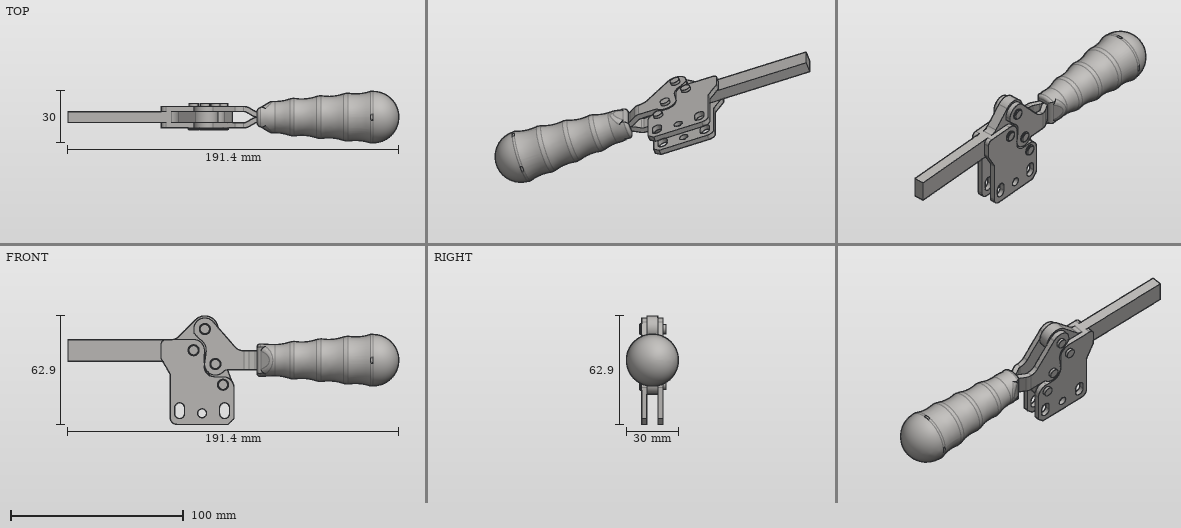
import cadquery as cq
import math


overall_height = 62.88

arm_width = 6.35
plate_thickness = 3.05
half_gap = arm_width / 2
half_width = half_gap + plate_thickness

arm_lever_pin = (1.6, 55.2)
arm_base_pin = (-4.9, 42.95)
lever_link_pin = (7.7, 35.0)
link_base_pin = (12.1, 23.0)
pin_centres = [arm_lever_pin, arm_base_pin, lever_link_pin, link_base_pin]
pin_radius = 2.75
pin_tail_length = 1.7
pin_head_radius = 3.2
pin_head_height = 1.2
pin_head_chamfer = 0.5

arm_left = -77.6
arm_height = 12.7
arm_bottom = 36.45
arm_top = arm_bottom + arm_height
arm_eye_radius = overall_height - arm_lever_pin[1]
arm_hub_radius = arm_base_pin[1] - arm_bottom
arm_fillet = 5.4
arm_slope = 45.0

link_radius = 5.5

base_half_length = 18.5
base_flare = 5.2
flare_angle = math.radians(30)
flare_bottom_z = 29.1
flare_top_z = flare_bottom_z + base_flare / math.tan(flare_angle)
flare_fillet = 2.0
base_top_fillet = 2.9
base_bottom_fillet = 4.0
base_bottom_chamfer = 3.5
base_hub_radius = arm_top - arm_base_pin[1]
base_step_z = 27.6
base_step_fillet = 6.0
base_shoulder_radius = 6.3
slot_spacing = 26.0
slot_width = 5.6
slot_length = 9.0
slot_z = 8.0
base_hole_diameter = 5.0
base_hole_z = 6.5

lever_radius = 6.4
lever_clearance_radius = 7.3
lever_clearance_start = 62.0
lever_neck_z = 53.0
lever_slope = 49.0
tang_height = 11.1
lever_top_fillet = 6.5
lever_bottom_fillet = 3.0
bend_start = 24.2
bend_angle = math.radians(30)
bend_inner_radius = 3.0
bend_outer_radius = bend_inner_radius + plate_thickness
tang_end = 45.0

grip_z = 37.2
grip_front = 31.7
grip_end = 113.84
grip_radius = 15.0
grip_front_fillet = 2.0
grip_front_radius = 9.5
groove_count = 4
first_groove_x = 42.1
groove_pitch = 15.57
first_groove_radius = 9.1
groove_radius_step = 1.48
groove_curve = 26.0
groove_before = 4.4
groove_after = 8.6
crest_rise = 0.12
nose_half_width = 3.4
nose_round_x = 34.0
nose_round_half_width = 5.7
nose_round_radius = 2.9
nose_angle = math.radians(31)
nose_blend_radius = 3.5
nose_edge_margin = 0.5


def on_circle(centre, radius, degrees):
    angle = math.radians(degrees)
    return (centre[0] + radius * math.cos(angle), centre[1] + radius * math.sin(angle))


def extrude_y(outline, y_min, y_max):
    """Extrude an outline drawn on the XZ plane from y_min to y_max."""
    return outline.extrude(y_min - y_max).translate((0, y_min, 0))


def front_sketch():
    return cq.Workplane("XZ")


def bar_between(start, end, start_radius, end_radius):
    """Outline of a bar with round ends, whose sides touch both end circles."""
    length = math.dist(start, end)
    heading = math.degrees(math.atan2(end[1] - start[1], end[0] - start[0]))
    side = math.degrees(math.acos((start_radius - end_radius) / length))
    return (
        front_sketch()
        .moveTo(*on_circle(start, start_radius, heading + side))
        .threePointArc(
            on_circle(start, start_radius, heading + 180),
            on_circle(start, start_radius, heading - side),
        )
        .lineTo(*on_circle(end, end_radius, heading - side))
        .threePointArc(
            on_circle(end, end_radius, heading),
            on_circle(end, end_radius, heading + side),
        )
        .close()
    )


def fillet_edge_at(body, point, radius):
    """Round the edge along Y that passes through the given (X, Z) point."""
    reach = 0.2
    box = cq.selectors.BoxSelector(
        (point[0] - reach, -grip_radius, point[1] - reach),
        (point[0] + reach, grip_radius, point[1] + reach),
    )
    return body.edges("|Y").edges(box).fillet(radius)


def make_arm():
    slope_touch = on_circle(arm_lever_pin, arm_eye_radius, 90 + arm_slope)
    slope_run = (slope_touch[1] - arm_top) / math.tan(math.radians(arm_slope))
    slope_foot = (slope_touch[0] - slope_run, arm_top)
    outline = (
        front_sketch()
        .moveTo(arm_left, arm_bottom)
        .lineTo(arm_base_pin[0], arm_bottom)
        .lineTo(*arm_base_pin)
        .lineTo(*arm_lever_pin)
        .lineTo(*slope_touch)
        .lineTo(*slope_foot)
        .lineTo(arm_left, arm_top)
        .close()
    )
    arm = extrude_y(outline, -half_gap, half_gap)
    arm = fillet_edge_at(arm, slope_foot, arm_fillet)
    web = bar_between(arm_base_pin, arm_lever_pin, arm_hub_radius, arm_eye_radius)
    return arm.union(extrude_y(web, -half_gap, half_gap))


def make_link():
    outline = bar_between(lever_link_pin, link_base_pin, link_radius, link_radius)
    return extrude_y(outline, -half_gap, half_gap)


def make_base_plate():
    left = -base_half_length
    right = base_half_length
    inner_edge = arm_base_pin[0] + base_hub_radius
    flare_bottom = (left, flare_bottom_z)
    flare_top = (left - base_flare, flare_top_z)
    top_corner = (left - base_flare, arm_top)
    bottom_corner = (left, 0)
    step_corner = (inner_edge, base_step_z)
    shoulder = (right, base_step_z)
    outline = (
        front_sketch()
        .moveTo(*bottom_corner)
        .lineTo(*flare_bottom)
        .lineTo(*flare_top)
        .lineTo(*top_corner)
        .lineTo(arm_base_pin[0], arm_top)
        .threePointArc(
            on_circle(arm_base_pin, base_hub_radius, 45),
            on_circle(arm_base_pin, base_hub_radius, 0),
        )
        .lineTo(*step_corner)
        .lineTo(*shoulder)
        .lineTo(right, base_bottom_chamfer)
        .lineTo(right - base_bottom_chamfer, 0)
        .close()
    )
    plate = extrude_y(outline, half_gap, half_width)
    rounded_corners = [
        (bottom_corner, base_bottom_fillet),
        (flare_bottom, flare_fillet),
        (flare_top, flare_fillet),
        (top_corner, base_top_fillet),
        (step_corner, base_step_fillet),
        (shoulder, base_shoulder_radius),
    ]
    for corner, radius in rounded_corners:
        plate = fillet_edge_at(plate, corner, radius)
    slots = (
        front_sketch()
        .pushPoints([(-slot_spacing / 2, slot_z), (slot_spacing / 2, slot_z)])
        .slot2D(slot_length, slot_width, 90)
    )
    hole = front_sketch().center(0, base_hole_z).circle(base_hole_diameter / 2)
    plate = plate.cut(extrude_y(slots, half_gap, half_width))
    return plate.cut(extrude_y(hole, half_gap, half_width))


def lever_side_shape():
    """Side shape of the lever, thick enough to be trimmed by the bent plate."""
    tang_top = grip_z + tang_height / 2
    tang_bottom = grip_z - tang_height / 2
    slope_touch = on_circle(arm_lever_pin, lever_radius, 90 - lever_slope)
    slope_run = (slope_touch[1] - tang_top) / math.tan(math.radians(lever_slope))
    slope_foot = (slope_touch[0] + slope_run, tang_top)
    drop = lever_link_pin[1] - tang_bottom
    heel = (lever_link_pin[0] + math.sqrt(lever_radius**2 - drop**2), tang_bottom)
    outline = (
        front_sketch()
        .moveTo(*slope_touch)
        .threePointArc(
            on_circle(arm_lever_pin, lever_radius, 90),
            on_circle(arm_lever_pin, lever_radius, 180),
        )
        .lineTo(arm_lever_pin[0] - lever_radius, lever_neck_z)
        .lineTo(*on_circle(arm_base_pin, lever_clearance_radius, lever_clearance_start))
        .threePointArc(
            on_circle(arm_base_pin, lever_clearance_radius, lever_clearance_start / 2),
            on_circle(arm_base_pin, lever_clearance_radius, 0),
        )
        .lineTo(*on_circle(lever_link_pin, lever_radius, 180))
        .threePointArc(on_circle(lever_link_pin, lever_radius, 270), heel)
        .lineTo(tang_end, tang_bottom)
        .lineTo(tang_end, tang_top)
        .lineTo(*slope_foot)
        .close()
    )
    shape = extrude_y(outline, 0, half_width)
    shape = fillet_edge_at(shape, slope_foot, lever_top_fillet)
    return fillet_edge_at(shape, heel, lever_bottom_fillet)


def bent_plate():
    """Plate that bends inward to the mid-plane and runs straight again."""
    bend_drop = 1 - math.cos(bend_angle)
    ramp_drop = half_gap - (bend_inner_radius + bend_outer_radius) * bend_drop
    ramp_run = ramp_drop / math.tan(bend_angle)
    both_bends_run = (bend_inner_radius + bend_outer_radius) * math.sin(bend_angle)
    bend_end = bend_start + both_bends_run + ramp_run
    first_centre = (bend_start, half_gap - bend_inner_radius)
    second_centre = (bend_end, bend_outer_radius)
    first_end = 90 - math.degrees(bend_angle)
    first_mid = 90 - math.degrees(bend_angle) / 2
    second_start = first_end + 180
    second_mid = first_mid + 180
    plate_start = arm_lever_pin[0] - 2 * lever_radius
    outline = (
        cq.Workplane("XY")
        .moveTo(plate_start, half_width)
        .lineTo(bend_start, half_width)
        .threePointArc(
            on_circle(first_centre, bend_outer_radius, first_mid),
            on_circle(first_centre, bend_outer_radius, first_end),
        )
        .lineTo(*on_circle(second_centre, bend_inner_radius, second_start))
        .threePointArc(
            on_circle(second_centre, bend_inner_radius, second_mid),
            (bend_end, plate_thickness),
        )
        .lineTo(tang_end, plate_thickness)
        .lineTo(tang_end, 0)
        .lineTo(bend_end, 0)
        .threePointArc(
            on_circle(second_centre, bend_outer_radius, second_mid),
            on_circle(second_centre, bend_outer_radius, second_start),
        )
        .lineTo(*on_circle(first_centre, bend_inner_radius, first_end))
        .threePointArc(
            on_circle(first_centre, bend_inner_radius, first_mid),
            (bend_start, half_gap),
        )
        .lineTo(plate_start, half_gap)
        .close()
    )
    return outline.extrude(arm_lever_pin[1] + 2 * lever_radius)


def make_lever_plate():
    return lever_side_shape().intersect(bent_plate())


def make_pin(centre):
    head_face = -half_width - pin_head_height
    tail_face = half_width + pin_tail_length
    shank_circle = front_sketch().center(*centre).circle(pin_radius)
    head_circle = front_sketch().center(*centre).circle(pin_head_radius)
    shank = extrude_y(shank_circle, -half_width, tail_face)
    head = extrude_y(head_circle, head_face, -half_width)
    return shank.union(head.faces("<Y").chamfer(pin_head_chamfer))


def groove_radius(valley_radius, offset):
    """Grip radius at an axial offset from the bottom of a concave groove."""
    return valley_radius + groove_curve - math.sqrt(groove_curve**2 - offset**2)


def grip_body():
    ball_x = grip_end - grip_radius
    outline = (
        cq.Workplane("XY")
        .moveTo(grip_front, 0)
        .lineTo(grip_front, grip_front_radius - grip_front_fillet)
        .radiusArc((grip_front + grip_front_fillet, grip_front_radius), grip_front_fillet)
        .lineTo(first_groove_x, first_groove_radius)
    )
    for index in range(groove_count):
        valley_x = first_groove_x + index * groove_pitch
        valley_radius = first_groove_radius + index * groove_radius_step
        crest_start = (valley_x + groove_after, groove_radius(valley_radius, groove_after))
        climb_middle = (
            valley_x + groove_after / 2,
            groove_radius(valley_radius, groove_after / 2),
        )
        outline = outline.threePointArc(climb_middle, crest_start)
        is_last = index == groove_count - 1
        if is_last:
            crest_end = (ball_x, grip_radius)
        else:
            next_valley = (valley_x + groove_pitch, valley_radius + groove_radius_step)
            crest_end = (
                next_valley[0] - groove_before,
                groove_radius(next_valley[1], groove_before),
            )
        crest_top = (
            (crest_start[0] + crest_end[0]) / 2,
            (crest_start[1] + crest_end[1]) / 2 + crest_rise,
        )
        outline = outline.threePointArc(crest_top, crest_end)
        if not is_last:
            fall_middle = (
                next_valley[0] - groove_before / 2,
                groove_radius(next_valley[1], groove_before / 2),
            )
            outline = outline.threePointArc(fall_middle, next_valley)
    outline = outline.threePointArc(on_circle((ball_x, 0), grip_radius, 45), (grip_end, 0)).close()
    return outline.revolve(360, (0, 0, 0), (1, 0, 0)).translate((0, 0, grip_z))


def nose_envelope():
    """Space that pinches the front of the grip between two slanted faces."""
    slant_run = (grip_radius - nose_round_half_width) / math.tan(nose_angle)
    slant_end = nose_round_x + slant_run
    outline = (
        cq.Workplane("XY")
        .moveTo(grip_front, 0)
        .lineTo(grip_front, nose_half_width)
        .radiusArc((nose_round_x, nose_round_half_width), nose_round_radius)
        .lineTo(slant_end, grip_radius)
        .lineTo(grip_end, grip_radius)
        .lineTo(grip_end, 0)
        .close()
    )
    half = outline.extrude(2 * grip_radius).translate((0, 0, grip_z - grip_radius))
    return half.union(half.mirror("XZ"))


def make_grip():
    grip = grip_body().intersect(nose_envelope())
    slant_edges = cq.selectors.BoxSelector(
        (nose_round_x + nose_edge_margin, -grip_radius, 0),
        (first_groove_x, grip_radius, 2 * grip_z),
    )
    return grip.edges(slant_edges).fillet(nose_blend_radius)


result = make_arm().union(make_link())
for side_plate in (make_base_plate(), make_lever_plate()):
    result = result.union(side_plate).union(side_plate.mirror("XZ"))
for pin_centre in pin_centres:
    result = result.union(make_pin(pin_centre))
result = result.union(make_grip())